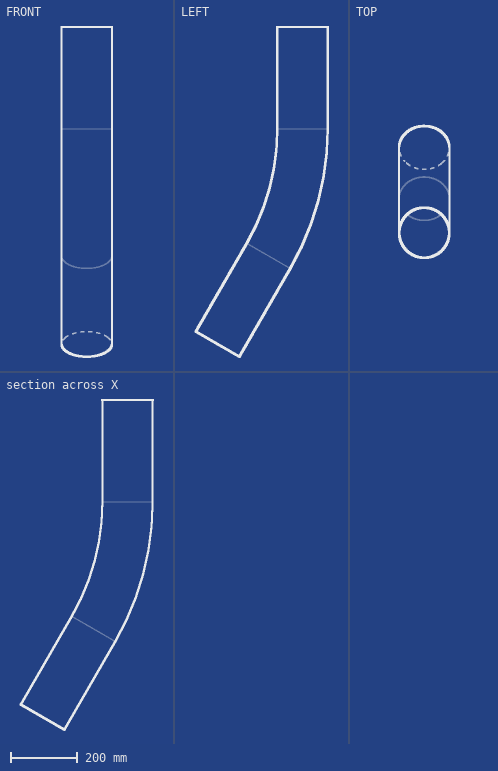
import cadquery as cq
import math

outer_diameter = 152.0
inner_diameter = 148.0
leg_length = 305.0
bend_angle = 30.0
bend_radius = 5 * outer_diameter

angle = math.radians(bend_angle)


def bend_point(turn):
    """Centreline point (Y, Z) after turning by the given angle in the bend."""
    return (
        bend_radius * (1 - math.cos(turn)),
        -bend_radius * math.sin(turn),
    )


bend_middle = bend_point(angle / 2)
bend_end = bend_point(angle)
lower_end = (
    bend_end[0] + leg_length * math.sin(angle),
    bend_end[1] - leg_length * math.cos(angle),
)
centreline = (
    cq.Workplane("YZ")
    .moveTo(0, leg_length)
    .lineTo(0, 0)
    .threePointArc(bend_middle, bend_end)
    .lineTo(*lower_end)
)

result = (
    cq.Workplane("XY", origin=(0, 0, leg_length))
    .circle(outer_diameter / 2)
    .circle(inner_diameter / 2)
    .sweep(centreline)
)